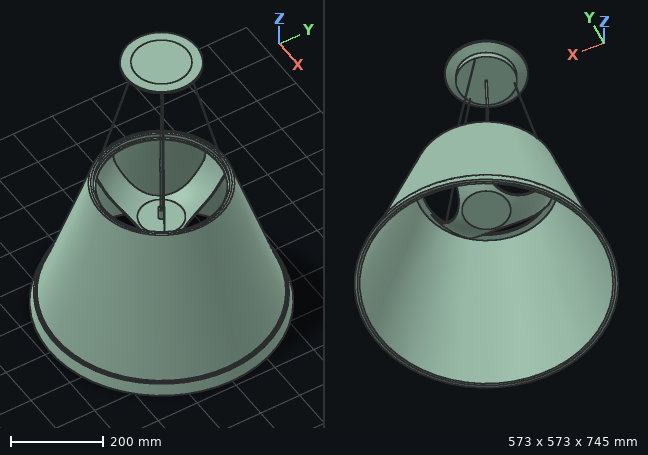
import cadquery as cq
import math

height = 745.0
band_diameter = 573.0

shade_height = 369.0
shade_top_radius = 159.0
shade_bottom_radius = 280.0
shade_wall = 5.0

band_height = 27.5
band_wall = band_diameter / 2 - shade_bottom_radius
lip_height = 3.0
lip_wall = 3.0

cup_radius = 66.0
cup_height = 27.5
flange_radius = 90.0
flange_rim = 5.0
flange_height = 13.0

rim_wall = 5.0
ledge_width = 5.0
ledge_depth = 10.5
rim_height = 13.5
bowl_radius = 153.0
bowl_centre_rise = 38.0
bowl_wall = 4.0
floor_radius = 52.0
arm_count = 3
arm_first_angle = 90.0
arm_width = 70.0
window_inner_fillet = 130.0
window_outer_fillet = 11.0
gland_radius = 7.5
gland_height = 25.0

cable_radius = 1.0
cable_top_circle = 61.0
cable_embed = 4.0
cord_radius = 2.0
cord_upper_sway = 7.0
cord_lower_sway = 4.5
cord_sway_angle = 135.0
cord_upper_sway_z = 600.0
cord_crossing_z = 514.0
cord_lower_sway_z = 425.0

cup_bottom_z = height - cup_height
bowl_centre_z = shade_height + bowl_centre_rise
floor_z = bowl_centre_z - math.sqrt(bowl_radius**2 - floor_radius**2)
rim_outer_radius = shade_top_radius - shade_wall
rim_inner_radius = rim_outer_radius - rim_wall
ledge_radius = rim_inner_radius - ledge_width
cable_bottom_circle = (rim_inner_radius + rim_outer_radius) / 2


def revolve_profile(profile):
    """Turn a closed profile of (radius, height) points about the Z axis."""
    return profile.close().revolve(360, (0, 0, 0), (0, 1, 0))


def shade_radius(z):
    """Outer radius of the shade at height z."""
    return shade_bottom_radius + (shade_top_radius - shade_bottom_radius) * z / shade_height


def make_shade():
    return revolve_profile(
        cq.Workplane("XZ").polyline(
            [
                (shade_bottom_radius - shade_wall, 0),
                (shade_bottom_radius, 0),
                (shade_top_radius, shade_height),
                (shade_top_radius - shade_wall, shade_height),
            ]
        )
    )


def make_band():
    """Conical band whose inner face lies on the shade, with a small lip on its top."""
    lip_z = band_height + lip_height
    return revolve_profile(
        cq.Workplane("XZ").polyline(
            [
                (shade_bottom_radius, 0),
                (shade_bottom_radius + band_wall, 0),
                (shade_radius(band_height) + band_wall, band_height),
                (shade_radius(band_height) + lip_wall, band_height),
                (shade_radius(lip_z) + lip_wall, lip_z),
                (shade_radius(lip_z), lip_z),
            ]
        )
    )


def make_flange():
    """Ceiling flange with a bevelled underside, bored to take the canopy cup."""
    return revolve_profile(
        cq.Workplane("XZ").polyline(
            [
                (cup_radius, height),
                (flange_radius, height),
                (flange_radius, height - flange_rim),
                (cup_radius, height - flange_height),
            ]
        )
    )


def make_rim():
    """Rim that fits the inside of the shade, with a ledge below its top."""
    bottom_z = shade_height - rim_height
    ledge_z = shade_height - ledge_depth
    return revolve_profile(
        cq.Workplane("XZ").polyline(
            [
                (rim_outer_radius, shade_height),
                (rim_inner_radius, shade_height),
                (rim_inner_radius, ledge_z),
                (ledge_radius, ledge_z),
                (ledge_radius, bottom_z),
                (shade_radius(bottom_z) - shade_wall, bottom_z),
            ]
        )
    )


def make_bowl():
    """Spherical shell from the rim down to a flat floor."""
    outer_radius = bowl_radius + bowl_wall
    top_z = shade_height - rim_height
    drop = bowl_centre_z - top_z
    floor_bottom_z = floor_z - bowl_wall
    floor_drop = bowl_centre_z - floor_bottom_z

    def arc_middle(radius, upper_drop, lower_drop):
        angle = (math.asin(upper_drop / radius) + math.asin(lower_drop / radius)) / 2
        return (radius * math.cos(angle), bowl_centre_z - radius * math.sin(angle))

    def radius_at(radius, depth):
        return math.sqrt(radius**2 - depth**2)

    return revolve_profile(
        cq.Workplane("XZ")
        .moveTo(0, floor_z)
        .lineTo(floor_radius, floor_z)
        .threePointArc(
            arc_middle(bowl_radius, drop, bowl_centre_z - floor_z),
            (radius_at(bowl_radius, drop), top_z),
        )
        .lineTo(radius_at(outer_radius, drop), top_z)
        .threePointArc(
            arc_middle(outer_radius, drop, floor_drop),
            (radius_at(outer_radius, floor_drop), floor_bottom_z),
        )
        .lineTo(0, floor_bottom_z)
    )


def arm_angles():
    return [arm_first_angle + 360 / arm_count * i for i in range(arm_count)]


def make_windows():
    """Rounded prisms that fill the spaces between the arms."""
    arm_length = 2 * rim_inner_radius
    windows = cq.Workplane("XY").circle(rim_inner_radius).extrude(shade_height)
    for angle in arm_angles():
        arm = (
            cq.Workplane("XY")
            .rect(arm_length, arm_width)
            .extrude(shade_height)
            .translate((arm_length / 2, 0, 0))
            .rotate((0, 0, 0), (0, 0, 1), angle)
        )
        windows = windows.cut(arm)
    inner_zone = cq.selectors.BoxSelector(
        (-floor_radius, -floor_radius, 0), (floor_radius, floor_radius, shade_height)
    )
    windows = windows.edges("|Z").edges(inner_zone).fillet(window_inner_fillet)
    corner_distance = rim_inner_radius - window_outer_fillet
    corners = windows.edges("|Z").filter(
        lambda edge: math.hypot(edge.Center().x, edge.Center().y) > corner_distance
    )
    return corners.fillet(window_outer_fillet)


def make_gland():
    return cq.Workplane("XY", (0, 0, floor_z)).circle(gland_radius).extrude(gland_height)


def make_cup():
    return cq.Workplane("XY", (0, 0, cup_bottom_z)).circle(cup_radius).extrude(cup_height)


def make_cable(angle):
    """Straight sloping cable from the rim to the cup, with both ends embedded."""
    span = cup_bottom_z - shade_height
    lean = (cable_top_circle - cable_bottom_circle) / span
    start = cq.Vector(cable_bottom_circle - lean * cable_embed, 0, shade_height - cable_embed)
    axis = cq.Vector(lean, 0, 1) * (span + 2 * cable_embed)
    cable = cq.Solid.makeCylinder(cable_radius, axis.Length, start, axis)
    return cq.Workplane(cable).rotate((0, 0, 0), (0, 0, 1), angle)


def make_cord():
    """Slack cord that leaves both ends upright and sways to both sides in one upright plane."""
    gland_top_z = floor_z + gland_height
    sway_path = (
        cq.Workplane("XZ")
        .moveTo(0, gland_top_z)
        .spline(
            [
                (-cord_lower_sway, cord_lower_sway_z),
                (0, cord_crossing_z),
                (cord_upper_sway, cord_upper_sway_z),
                (0, cup_bottom_z),
            ],
            tangents=[(0, 1), (0, 1)],
            includeCurrent=True,
        )
    )
    cord = cq.Workplane("XY", (0, 0, gland_top_z)).circle(cord_radius).sweep(sway_path)
    return cord.rotate((0, 0, 0), (0, 0, 1), cord_sway_angle)


def make_hanger():
    """Canopy cup, cables, cord and arm frame, joined as one body."""
    hanger = make_bowl().cut(make_windows()).union(make_rim())
    hanger = hanger.union(make_gland()).union(make_cup()).union(make_cord())
    for angle in arm_angles():
        hanger = hanger.union(make_cable(angle))
    return hanger.solids()


shade = make_shade()
band = make_band()
flange = make_flange()
hanger = make_hanger()

result = cq.Compound.makeCompound([shade.val(), band.val(), flange.val(), hanger.val()])